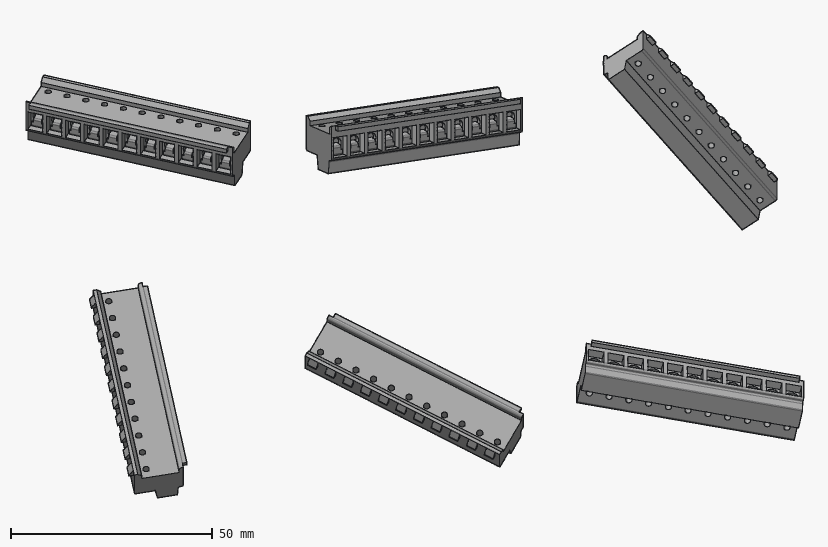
import cadquery as cq
import math

length = 55.0
pole_count = 11
pitch = length / pole_count
pole_centers = [(i + 0.5) * pitch for i in range(pole_count)]

depth = 14.7
height = 12.55
front_overhang = 1.15
latch_overhang = 1.15
body_front = front_overhang
body_back = depth - latch_overhang
body_bottom = 3.6
deck_z = 10.35
bottom_round = 0.55

front_rib_thickness = 1.05
back_rib_thickness = 1.9
back_rib_flat = 0.9
back_rib_shoulder_z = 11.5

foot_top_front = 2.4
foot_top_back = 8.25
foot_bottom_front = 2.6
foot_bottom_back = 7.7
foot_root_round = 0.5
foot_toe_round = 0.2

lip_height = 1.15
lip_end_inset = 1.2

latch_width = 2.5
latch_tip_z = 10.8

hole_diameter = 1.55
hole_y = 10.05

pocket_width = 3.95
pocket_bottom = 4.35
pocket_top = 9.55
pocket_depth = 1.85
pocket_draft = 3.5
bore_diameter = 2.75
bore_z = 7.4
bore_depth = 1.2
pocket_back = body_front + pocket_depth
bore_back = pocket_back + bore_depth

tongue_width = 2.15
tongue_base_width = 2.95
tongue_base_top = 5.8
tongue_protrusion = 0.5
tongue_front = pocket_back - tongue_protrusion
tongue_corner_z = 6.75
tongue_slope = 17
tongue_round = 0.5


def extrude_along_x(outline, start, width):
    """Extrude a closed YZ outline from X = start by width."""
    return outline.extrude(width).translate((start, 0, 0))


def round_edge(solid, y, z, radius):
    """Fillet the full-length edge that passes through the given Y and Z."""
    edge = cq.selectors.NearestToPointSelector((length / 2, y, z))
    return solid.edges(edge).fillet(radius)


def make_body():
    """Body with both ribs and the foot, as one constant section."""
    front_rib_back = body_front + front_rib_thickness
    back_rib_front = body_back - back_rib_thickness
    arc_drop = front_rib_thickness * (1 - math.sin(math.pi / 4))
    arc_middle = (front_rib_back - arc_drop, height - arc_drop)
    section = (
        cq.Workplane("YZ")
        .moveTo(body_front, body_bottom)
        .lineTo(body_front, height)
        .threePointArc(arc_middle, (front_rib_back, height - front_rib_thickness))
        .lineTo(front_rib_back, deck_z)
        .lineTo(back_rib_front, deck_z)
        .lineTo(back_rib_front, back_rib_shoulder_z)
        .lineTo(body_back - back_rib_flat, height)
        .lineTo(body_back, height)
        .lineTo(body_back, body_bottom)
        .lineTo(foot_top_back, body_bottom)
        .lineTo(foot_bottom_back, 0)
        .lineTo(foot_bottom_front, 0)
        .lineTo(foot_top_front, body_bottom)
        .close()
    )
    body = extrude_along_x(section, 0, length)
    body = round_edge(body, body_front, body_bottom, bottom_round)
    body = round_edge(body, body_back, body_bottom, bottom_round)
    body = round_edge(body, foot_top_front, body_bottom, foot_root_round)
    return round_edge(body, foot_bottom_front, 0, foot_toe_round)


def make_lip():
    """Square lip along the top of the front face, short of both ends."""
    outline = (
        cq.Workplane("YZ")
        .moveTo(0, height - lip_height)
        .lineTo(body_front, height - lip_height)
        .lineTo(body_front, height)
        .lineTo(0, height)
        .close()
    )
    return extrude_along_x(outline, lip_end_inset, length - 2 * lip_end_inset)


def make_latch(center_x):
    """Sloped snap latch on the back face."""
    outline = (
        cq.Workplane("YZ")
        .moveTo(body_back, deck_z)
        .lineTo(depth, deck_z)
        .lineTo(depth, latch_tip_z)
        .lineTo(body_back, height)
        .close()
    )
    return extrude_along_x(outline, center_x - latch_width / 2, latch_width)


def make_hole(center_x):
    """Vertical hole through deck and body."""
    return (
        cq.Workplane("XY")
        .center(center_x, hole_y)
        .circle(hole_diameter / 2)
        .extrude(height)
    )


def make_pocket(center_x):
    """Rectangular pocket, drafted toward its back, with a blind round bore behind it."""
    pocket_height = pocket_top - pocket_bottom
    pocket_middle = (pocket_top + pocket_bottom) / 2
    pocket = (
        cq.Workplane("XZ", origin=(center_x, body_front, pocket_middle))
        .rect(pocket_width, pocket_height)
        .extrude(-pocket_depth, taper=pocket_draft)
    )
    bore = (
        cq.Workplane("XZ", origin=(center_x, body_front, bore_z))
        .circle(bore_diameter / 2)
        .extrude(-(bore_back - body_front))
    )
    return pocket.union(bore)


def make_tongue(center_x):
    """Clamp tongue: round-nosed, sloping up into the bore, wider at its base."""
    slope_rise = (bore_back - tongue_front) * math.tan(math.radians(tongue_slope))
    profile = (
        cq.Workplane("YZ")
        .moveTo(tongue_front, pocket_bottom)
        .lineTo(tongue_front, tongue_corner_z)
        .lineTo(bore_back, tongue_corner_z + slope_rise)
        .lineTo(bore_back, pocket_bottom)
        .close()
    )
    blade = extrude_along_x(profile, center_x - tongue_width / 2, tongue_width)
    blade = blade.edges("|X and <Y").fillet(tongue_round)
    base = cq.Workplane("XY").box(
        tongue_base_width,
        bore_back - tongue_front,
        tongue_base_top - pocket_bottom,
        centered=(True, False, False),
    )
    base = base.translate((center_x, tongue_front, pocket_bottom))
    base = base.edges("|X and <Y and <Z").fillet(tongue_round)
    return blade.union(base)


result = make_body().union(make_lip())
for x in pole_centers:
    result = result.union(make_latch(x))
    result = result.cut(make_hole(x))
    result = result.cut(make_pocket(x))
    result = result.union(make_tongue(x))